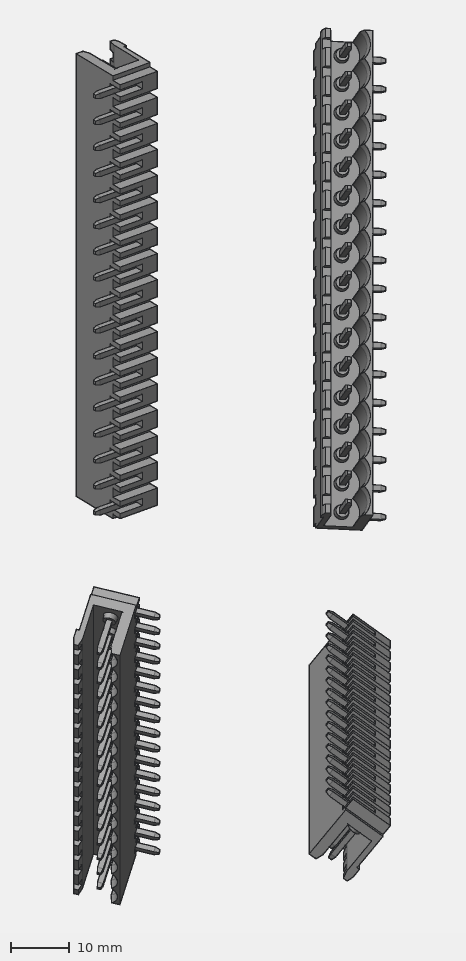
import cadquery as cq

pole_count = 17
row_length = 85.0
pitch = row_length / pole_count
pole_heights = [(index + 0.5) * pitch for index in range(pole_count)]

housing_width = 8.0
housing_depth = 10.2
overall_depth = 12.2
cavity_floor_x = 8.3
front_wall_inner_y = 1.95
latch_wall_inner_y = 7.0

latch_outer_y = 8.5
latch_length = 3.0
latch_lead_length = 1.2
latch_lead_drop = 0.3
latch_mouth_length = 1.45
latch_mouth_drop = 0.3
latch_notch_height = 1.8
latch_notch_depth = latch_lead_length

scallop_radius = 3.15
scallop_mouth_radius = 3.5
scallop_mouth_length = 1.45

foot_height = 3.3
slot_floor_x = 9.35
slot_height = 1.4
slot_end_y = 4.8

pin_size = 1.0
pin_axis_y = 3.9
mating_tip_x = 0.8
solder_axis_x = 10.4
solder_tip_y = -4.1
pin_tip_length = 0.85
pin_tip_size = 0.6
collar_base_radius = 1.3
collar_top_radius = 1.1
collar_height = 1.0


def box(x_range, y_range, z_range):
    """Axis-aligned box given by its limits along X, Y and Z."""
    size = [high - low for low, high in (x_range, y_range, z_range)]
    corner = (x_range[0], y_range[0], z_range[0])
    return cq.Workplane("XY").box(*size, centered=False).translate(corner)


def span(center, size):
    """Limits of an interval with the given center and size."""
    return (center - size / 2, center + size / 2)


def channel():
    """Channel section extruded along the whole row."""
    outline = [
        (0, 0),
        (housing_depth, 0),
        (housing_depth, housing_width),
        (latch_length, housing_width),
        (latch_length, latch_outer_y),
        (latch_lead_length, latch_outer_y),
        (0, latch_outer_y - latch_lead_drop),
        (0, latch_wall_inner_y + latch_mouth_drop),
        (latch_mouth_length, latch_wall_inner_y),
        (cavity_floor_x, latch_wall_inner_y),
        (cavity_floor_x, front_wall_inner_y),
        (0, front_wall_inner_y),
    ]
    return cq.Workplane("XY").polyline(outline).close().extrude(row_length)


def scallop(z):
    """Flared round groove around one contact, cut into the -Y wall only."""
    groove = (
        cq.Workplane("XY")
        .polyline([
            (0, pin_axis_y),
            (0, pin_axis_y - scallop_mouth_radius),
            (scallop_mouth_length, pin_axis_y - scallop_radius),
            (cavity_floor_x, pin_axis_y - scallop_radius),
            (cavity_floor_x, pin_axis_y),
        ])
        .close()
        .revolve(360, (0, pin_axis_y, 0), (1, pin_axis_y, 0))
        .translate((0, 0, z))
    )
    return groove.intersect(box((0, cavity_floor_x), (0, pin_axis_y), span(z, pitch)))


def latch_notch(z):
    """Gap in the latch rim in line with one contact."""
    return box((0, latch_notch_depth), (latch_wall_inner_y, latch_outer_y), span(z, latch_notch_height))


def foot(z):
    """Stand-off behind one contact."""
    return box((housing_depth, overall_depth), (0, housing_width), span(z, foot_height))


def pin_slot(z):
    """Slot from the -Y and +X faces that leaves room for the bent leg."""
    return box((slot_floor_x, overall_depth), (0, slot_end_y), span(z, slot_height))


def pin_leg(length):
    """Square bar along local Z from the origin, with a pyramid tip at its far end."""
    return (
        cq.Workplane("XY")
        .rect(pin_size, pin_size)
        .extrude(length - pin_tip_length)
        .faces(">Z")
        .workplane()
        .rect(pin_size, pin_size)
        .workplane(offset=pin_tip_length)
        .rect(pin_tip_size, pin_tip_size)
        .loft(ruled=True)
    )


def contact(z):
    """Bent pin with its mating leg along -X and its solder leg along -Y."""
    bend_point = (solder_axis_x, pin_axis_y, z)
    mating_leg = pin_leg(solder_axis_x - mating_tip_x).rotate((0, 0, 0), (0, 1, 0), -90)
    solder_leg = pin_leg(pin_axis_y - solder_tip_y).rotate((0, 0, 0), (1, 0, 0), 90)
    bend = cq.Workplane("XY").box(pin_size, pin_size, pin_size)
    collar = cq.Workplane("XY").add(
        cq.Solid.makeCone(
            collar_base_radius,
            collar_top_radius,
            collar_height,
            pnt=cq.Vector(cavity_floor_x, pin_axis_y, z),
            dir=cq.Vector(-1, 0, 0),
        )
    )
    return mating_leg.union(solder_leg).union(bend).translate(bend_point).union(collar)


def row_of(feature):
    """One copy of a feature at every contact, as a single compound."""
    return cq.Workplane("XY").add(cq.Compound.makeCompound([feature(z).val() for z in pole_heights]))


housing = channel().union(row_of(foot))
housing = housing.cut(row_of(latch_notch)).cut(row_of(pin_slot))

for pole_height in pole_heights:
    housing = housing.cut(scallop(pole_height))

result = housing.union(row_of(contact))